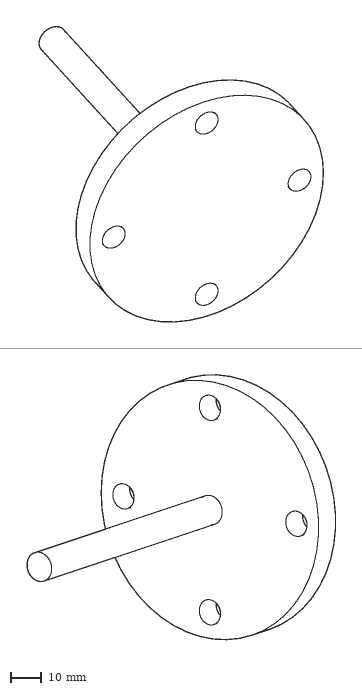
import cadquery as cq

total_length = 110.0
flange_diameter = 88.0
flange_thickness = 10.0
rod_diameter = 10.0
hole_diameter = 8.6
hole_circle_radius = 35.0
hole_count = 4

rod_length = total_length - flange_thickness


def make_rod():
    """Round rod along X, from the origin to the flange face."""
    return cq.Workplane("YZ").circle(rod_diameter / 2).extrude(rod_length)


def make_flange():
    """Disc at the +X end with evenly spaced through holes."""
    disc = cq.Workplane("YZ", origin=(rod_length, 0, 0)).circle(flange_diameter / 2).extrude(flange_thickness)
    return (
        disc.faces(">X")
        .workplane(centerOption="CenterOfBoundBox")
        .polarArray(hole_circle_radius, 0, 360, hole_count)
        .hole(hole_diameter)
    )


result = make_rod().union(make_flange())